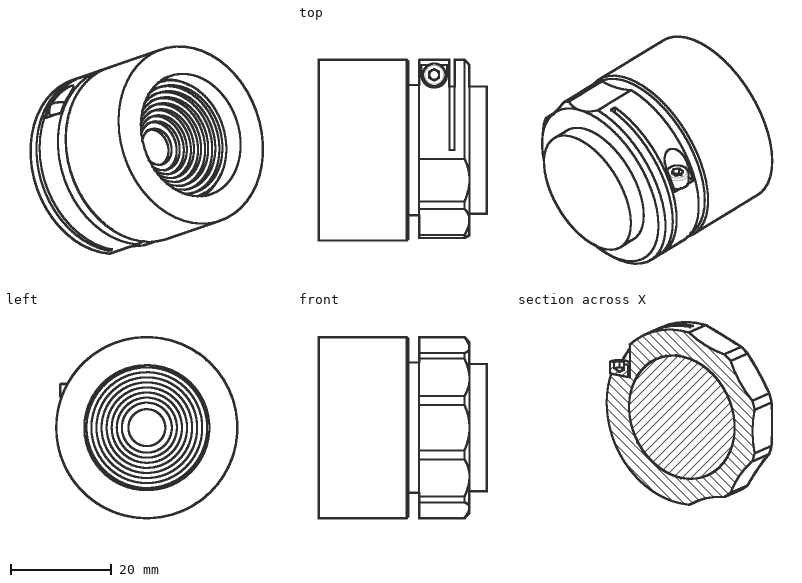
import cadquery as cq
import math

OUTER_RADIUS = 18.0

FLANGE_LENGTH = 17.9
FLANGE_CHAMFER = 0.45
NECK_RADIUS = 12.95
TUBE_RADIUS = 12.67
TOTAL_LENGTH = 33.4

MOUTH_RADIUS = 12.42
MOUTH_DEPTH = 4.15
GROOVE_INNER_RADIUS = 12.0
FIRST_STEP_RADIUS = 11.0
STEP_SIZE = 1.0
STEP_COUNT = 7
CORE_RADIUS = 3.67

RING_START = 19.95
RING_END = 29.9
RING_CHAMFER_LENGTH = 0.95
RING_CHAMFER_HEIGHT = 1.05
SLOT_START = 25.95
SLOT_END = 27.0

FLUTE_PITCH = 35.0
FLUTE_HALF_ANGLE = 14.5
FLUTE_RADIUS = 20.0
FLUTE_COUNT = 5

HEAD_RADIUS = 2.25
HEAD_HEIGHT = 2.52
HEAD_FILLET = 0.35
SOCKET_FLATS = 1.98
SOCKET_DEPTH = 1.25
SOCKET_TIP_ANGLE = 118.0
SCREW_X = (RING_START + SLOT_START) / 2
SCREW_Y = 14.98
SEAT_Z = 6.23
SEAT_RADIUS = 2.52


def cylinder(start, end, radius):
    """Solid cylinder on the X axis between two x positions."""
    return cq.Workplane("YZ", origin=(start, 0, 0)).circle(radius).extrude(end - start)


def make_bore():
    """Wide mouth with a ring groove at its foot, then steps shrinking towards a small blind core hole."""
    bore = cylinder(0, MOUTH_DEPTH, MOUTH_RADIUS)
    groove_end = MOUTH_DEPTH + STEP_SIZE
    groove = cylinder(MOUTH_DEPTH, groove_end, MOUTH_RADIUS).cut(
        cylinder(MOUTH_DEPTH, groove_end, GROOVE_INNER_RADIUS)
    )
    bore = bore.union(groove)
    for i in range(STEP_COUNT):
        start = MOUTH_DEPTH + i * STEP_SIZE
        radius = FIRST_STEP_RADIUS - i * STEP_SIZE
        bore = bore.union(cylinder(start, start + STEP_SIZE, radius))
    core_start = MOUTH_DEPTH + STEP_COUNT * STEP_SIZE
    return bore.union(cylinder(core_start, core_start + STEP_SIZE, CORE_RADIUS))


def make_gland_body():
    """Flange, neck and rear tube in one turned piece with the stepped bore."""
    flange = cylinder(0, FLANGE_LENGTH, OUTER_RADIUS).faces(">X").edges().chamfer(FLANGE_CHAMFER)
    neck = cylinder(FLANGE_LENGTH, RING_START, NECK_RADIUS)
    tube = cylinder(RING_START, TOTAL_LENGTH, TUBE_RADIUS)
    return flange.union(neck).union(tube).cut(make_bore())


def make_flutes():
    """Round cutters whose arcs meet the rim at the edges of each flute."""
    half_angle = math.radians(FLUTE_HALF_ANGLE)
    half_chord = OUTER_RADIUS * math.sin(half_angle)
    axis_distance = OUTER_RADIUS * math.cos(half_angle) + math.sqrt(FLUTE_RADIUS**2 - half_chord**2)
    cutter = (
        cq.Workplane("YZ", origin=(RING_START, -axis_distance, 0))
        .circle(FLUTE_RADIUS)
        .extrude(RING_END - RING_START)
    )
    first_angle = -FLUTE_PITCH * (FLUTE_COUNT - 1) / 2
    return [cutter.rotate((0, 0, 0), (1, 0, 0), first_angle + i * FLUTE_PITCH) for i in range(FLUTE_COUNT)]


def make_slot():
    """Slot across the +Y half of the ring, down to the tube."""
    slot = cq.Workplane("YZ", origin=(SLOT_START, OUTER_RADIUS / 2, 0))
    return slot.rect(OUTER_RADIUS, 2 * OUTER_RADIUS).extrude(SLOT_END - SLOT_START)


def make_screw_seat():
    """Flat-bottomed seat for the screw head, open towards +Y and +Z."""
    height = OUTER_RADIUS - SEAT_Z
    seat = cq.Workplane("XY", origin=(SCREW_X, SCREW_Y, SEAT_Z))
    round_end = seat.circle(SEAT_RADIUS).extrude(height)
    open_side = seat.center(0, SEAT_RADIUS).rect(2 * SEAT_RADIUS, 2 * SEAT_RADIUS).extrude(height)
    return round_end.union(open_side)


def make_clamp_ring():
    """Ring on the tube: fluted grip on one half, slotted screw clamp on the other."""
    ring = cylinder(RING_START, RING_END, OUTER_RADIUS)
    ring = ring.faces(">X").edges().chamfer(RING_CHAMFER_LENGTH, RING_CHAMFER_HEIGHT)
    for flute in make_flutes():
        ring = ring.cut(flute)
    ring = ring.cut(cylinder(RING_START, RING_END, TUBE_RADIUS))
    return ring.cut(make_slot()).cut(make_screw_seat())


def make_clamp_screw():
    """Round screw head with a hexagon socket ending in a drilled cone."""
    base = cq.Workplane("XY", origin=(SCREW_X, SCREW_Y, SEAT_Z))
    head = base.circle(HEAD_RADIUS).extrude(HEAD_HEIGHT).faces(">Z").edges().fillet(HEAD_FILLET)
    socket_floor = SEAT_Z + HEAD_HEIGHT - SOCKET_DEPTH
    socket = cq.Workplane("XY", origin=(SCREW_X, SCREW_Y, socket_floor))
    socket = socket.polygon(6, SOCKET_FLATS, circumscribed=True).extrude(SOCKET_DEPTH)
    tip_radius = SOCKET_FLATS / 2
    tip_height = tip_radius / math.tan(math.radians(SOCKET_TIP_ANGLE / 2))
    tip_centre = cq.Vector(SCREW_X, SCREW_Y, socket_floor)
    tip = cq.Solid.makeCone(tip_radius, 0, tip_height, tip_centre, cq.Vector(0, 0, -1))
    return head.cut(socket).cut(cq.Workplane(tip))


gland_body = make_gland_body()
clamp_ring = make_clamp_ring()
clamp_screw = make_clamp_screw()

result = cq.Compound.makeCompound([gland_body.val(), clamp_ring.val(), clamp_screw.val()])